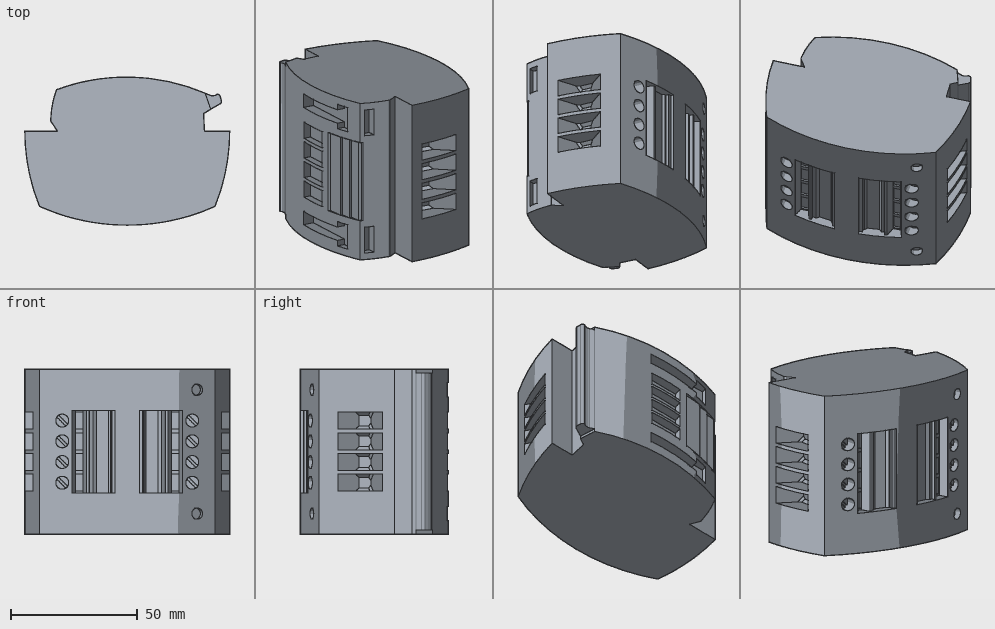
import cadquery as cq
import math

width = 80.9
depth = 58.5
height = 65.2
front_y = -depth / 2
rear_y = depth / 2

shoulder_y = 7.9
front_corner_x = 34.6
front_corner_y = -21.8
side_bulge = 1.45
rear_corner = (-27.9, 24.25)
rear_side_bulge = 0.5
notch_tip_x = -30.25
notch_tip_y = 12.3
notch_lip = 0.4
notch_root_x = -27.6
latch_root = (30.5, shoulder_y)
latch_inner = (30.2, 14.8)
latch_outer = (32.9, 16.5)
latch_top = (30.7, 22.9)

lever_height = 61.9

terminal_count = 4
terminal_pitch = 8.2
cell_height = 6.7
bank_height = 32.5
terminal_z = [(i - (terminal_count - 1) / 2) * terminal_pitch for i in range(terminal_count)]

pocket_outer_x = 21.75
pocket_inner_x = 4.9
pocket_floor_outer_x = 20.45
pocket_floor_inner_x = 17.4
pocket_floor_y = -22.65
contact_depth = 0.8

screw_x = 25.6
screw_diameter = 5.1
screw_head_y = -21.4
screw_slot_width = 1.05
screw_slot_depth = 0.8

entry_rear_y = 3.2
entry_front_y = -14.55
entry_front_x = 37.4
entry_back_x = 30.2
entry_back_rear_y = -1.4
entry_back_front_y = -6.1
entry_back_height = 4.2
funnel_length = 1.1
funnel_corner = 0.8

foot_z = 24.4
pin_x = 27.6
pin_diameter = 4.45
pin_depth = 2.6
foot_slot_left_x = -21
foot_slot_right_x = 7.3
foot_slot_height = 5.6
foot_notch_left_x = -21.5
foot_notch_right_x = -16.2
foot_notch_height = 10.1
foot_slot_depth = 4.85
window_front_y = 18.8
window_rear_y = 22.6
window_height = 10.75
window_floor_x = -25.9

rear_steps_start_y = 23.05
rear_steps_end_x = -10.5

vent_half_width = 6.9
vent_depth = 3.2

clear = 4.05


def box(x_range, y_range, z_size, z_center=0):
    """Box between two X values and two Y values, centred on a height."""
    x0, x1 = x_range
    y0, y1 = y_range
    center = ((x0 + x1) / 2, (y0 + y1) / 2, z_center)
    return cq.Workplane("XY").box(x1 - x0, y1 - y0, z_size).translate(center)


def prism(points, z_size, z_center=0):
    """Polygon in XY extruded along Z and centred on a height."""
    solid = cq.Workplane("XY").polyline(points).close().extrude(z_size / 2, both=True)
    return solid.translate((0, 0, z_center))


def both_sides(solid):
    """The solid together with its mirror image across the YZ plane."""
    return solid.add(solid.mirror("YZ")).combine()


def make_housing():
    outline = (
        cq.Workplane("XY")
        .moveTo(-width / 2, shoulder_y)
        .sagittaArc((-front_corner_x, front_corner_y), -side_bulge)
        .threePointArc((0, front_y), (front_corner_x, front_corner_y))
        .sagittaArc((width / 2, shoulder_y), -side_bulge)
        .lineTo(*latch_root)
        .lineTo(*latch_inner)
        .lineTo(*latch_outer)
        .lineTo(*latch_top)
        .threePointArc((0, rear_y), rear_corner)
        .sagittaArc((notch_tip_x, notch_tip_y), -rear_side_bulge)
        .lineTo(notch_tip_x, notch_tip_y - notch_lip)
        .lineTo(notch_root_x, shoulder_y)
        .close()
    )
    return outline.extrude(height / 2, both=True)


def make_lever():
    return (
        cq.Workplane("XY")
        .moveTo(*latch_top)
        .lineTo(*latch_outer)
        .lineTo(36.55, 18.6)
        .threePointArc((37.1, 19.25), (37.1, 20.05))
        .lineTo(36.7, 21.5)
        .threePointArc((36.2, 22.2), (35.4, 22.5))
        .threePointArc((34.05, 21.9), (32.7, 22.1))
        .close()
        .extrude(lever_height / 2, both=True)
    )


def make_front_pocket():
    """Pocket on the -X half, its floor stepped like the face of a plug-in connector."""
    outer_wall = [
        (-pocket_outer_x, front_y - clear),
        (-pocket_outer_x, -26.1),
        (-pocket_floor_outer_x, pocket_floor_y),
    ]
    ridge = [
        (-pocket_floor_inner_x, pocket_floor_y),
        (-16.0, -26.6),
        (-15.0, -26.8),
        (-14.9, -25.2),
        (-14.2, -25.3),
        (-13.5, -25.6),
    ]
    tilted_flat = [(-12.2, -24.6), (-7.4, -25.2)]
    inner_steps = [(-6.6, -26.3), (-6.1, -26.4), (-6.15, -27.65), (-4.8, -27.8)]
    inner_wall = [(-pocket_inner_x, front_y), (-pocket_inner_x, front_y - clear)]
    profile = outer_wall + ridge + tilted_flat + inner_steps + inner_wall
    pocket = prism(profile, bank_height)
    for z in terminal_z:
        x_range = (-pocket_floor_outer_x, -pocket_floor_inner_x)
        y_range = (pocket_floor_y - contact_depth, pocket_floor_y + contact_depth)
        pocket = pocket.union(box(x_range, y_range, cell_height, z))
    return pocket


def make_wire_entry(z):
    """Wedge-shaped side opening on the -X half that funnels in to a smaller flat back."""
    wedge = prism(
        [
            (-width / 2 - clear, entry_rear_y),
            (-width / 2, entry_rear_y),
            (-entry_back_x, entry_back_rear_y),
            (-entry_back_x, entry_back_front_y),
            (-entry_front_x, entry_front_y),
            (-width / 2 - clear, entry_front_y),
        ],
        cell_height,
    )
    roof = (
        cq.Workplane("XZ", origin=(0, entry_front_y, 0))
        .moveTo(-entry_back_x - funnel_length, cell_height / 2)
        .lineTo(-entry_back_x, cell_height / 2)
        .lineTo(-entry_back_x, entry_back_height / 2)
        .close()
        .extrude(entry_front_y - entry_rear_y)
    )
    tapered = wedge.cut(roof).cut(roof.mirror("XY"))
    funnel_zone = cq.selectors.BoxSelector(
        (-entry_back_x - funnel_length, entry_back_rear_y, -cell_height / 2),
        (-entry_back_x, entry_rear_y, cell_height / 2),
    )
    rear_edges = tapered.edges(funnel_zone - cq.selectors.ParallelDirSelector(cq.Vector(0, 0, 1)))
    return rear_edges.chamfer(funnel_corner).translate((0, 0, z))


def make_screw_hole(x, z):
    """Hole along Y that ends on a screw head with a diagonal slot."""
    head_plane = cq.Workplane("XZ", origin=(x, screw_head_y, z))
    hole = head_plane.circle(screw_diameter / 2).extrude(screw_head_y - front_y)
    slot = (
        head_plane.transformed(rotate=(0, 0, -45))
        .rect(2 * screw_diameter, screw_slot_width)
        .extrude(-screw_slot_depth)
    )
    rim = head_plane.circle(screw_diameter / 2).extrude(-screw_slot_depth)
    return hole.union(slot.intersect(rim))


def make_pin_hole(z):
    """Shallow round hole square to the curved front face."""
    sagitta = front_corner_y - front_y
    radius = (front_corner_x ** 2 + sagitta ** 2) / (2 * sagitta)
    angle = math.asin(pin_x / radius)
    outward = cq.Vector(math.sin(angle), -math.cos(angle), 0)
    surface = cq.Vector(pin_x, front_y + radius * (1 - math.cos(angle)), z)
    floor_center = surface - outward * pin_depth
    return cq.Workplane(cq.Solid.makeCylinder(pin_diameter / 2, pin_depth + clear, floor_center, outward))


def make_rear_steps():
    """Stepped recess that climbs from the -X side onto the crown of the rear face."""
    risers = [
        [(-27.5, 23.4), (-26.9, 24.5)],
        [(-22.2, 24.8), (-22.5, 25.95)],
        [(-17.8, 26.4), (-18.0, 27.25)],
        [(rear_steps_end_x - 0.5, 27.65), (rear_steps_end_x, 28.55)],
    ]
    profile = [(notch_tip_x, rear_steps_start_y)] + sum(risers, [])
    profile += [(rear_steps_end_x, rear_y + clear), (notch_tip_x, rear_y + clear)]
    return prism(profile, bank_height)


def make_foot_recesses(z):
    """Cross-shaped recess in the rear face and the window beside it in the -X side."""
    rear_range = (rear_y - foot_slot_depth, rear_y + clear)
    slot = box((foot_slot_left_x, foot_slot_right_x), rear_range, foot_slot_height, z)
    notch = box((foot_notch_left_x, foot_notch_right_x), rear_range, foot_notch_height, z)
    window = box((notch_tip_x - clear, window_floor_x), (window_front_y, window_rear_y), window_height, z)
    return slot.union(notch).union(window)


def make_vent(z):
    return box((-vent_half_width, vent_half_width), (rear_y - vent_depth, rear_y + clear), cell_height, z)


result = make_housing().union(make_lever())
result = result.cut(both_sides(make_front_pocket()))
result = result.cut(make_rear_steps())
for z in terminal_z:
    result = result.cut(both_sides(make_wire_entry(z)))
    result = result.cut(make_vent(z))
    for x in (-screw_x, screw_x):
        result = result.cut(make_screw_hole(x, z))
for z in (-foot_z, foot_z):
    result = result.cut(make_pin_hole(z))
    result = result.cut(make_foot_recesses(z))